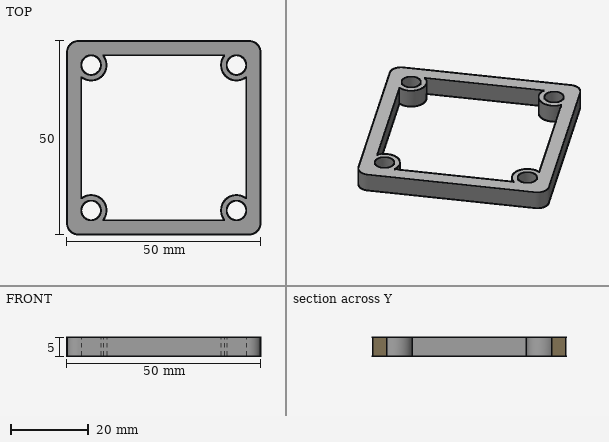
import cadquery as cq

outer_side = 50.0
height = 5.0
wall = 3.75
corner_radius = 3.0
hole_diameter = 5.0
boss_diameter = 8.0

inner_side = outer_side - 2 * wall
hole_spacing = inner_side - hole_diameter


def square_prism(side):
    """Square block standing on the XY plane."""
    return cq.Workplane("XY").rect(side, side).extrude(height)


def corner_cylinders(diameter):
    """Four full-height cylinders on the hole centres."""
    return (
        cq.Workplane("XY")
        .rect(hole_spacing, hole_spacing, forConstruction=True)
        .vertices()
        .circle(diameter / 2)
        .extrude(height)
    )


frame = square_prism(outer_side).edges("|Z").fillet(corner_radius)
frame = frame.cut(square_prism(inner_side))

result = frame.union(corner_cylinders(boss_diameter)).cut(corner_cylinders(hole_diameter))